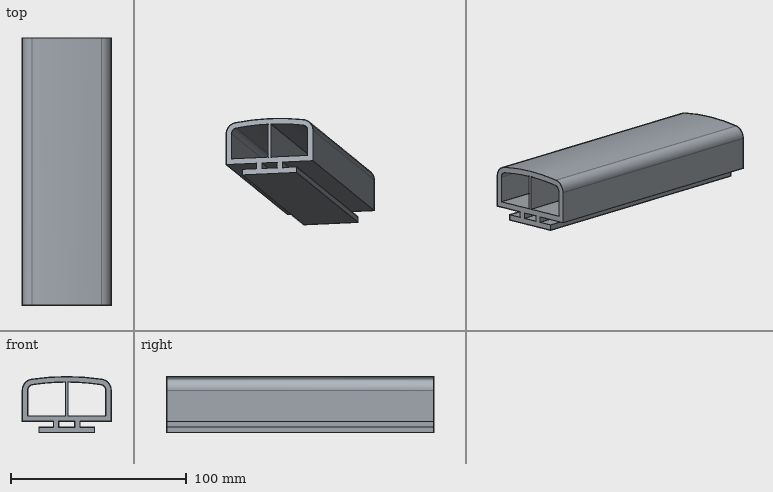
import cadquery as cq
import math

length = 152.4
width = 50.7
height = 32.0
wall = 3.2
web_thickness = 1.5
crown_radius = 134.1
corner_radius = 6.4
foot_width = 31.7
stem_gap = 8.8

stem_bottom = wall
box_bottom = 2 * wall
box_floor = 3 * wall
stem_center = (stem_gap + wall) / 2
overlap = wall / 2


def crowned_bar(bar_width, bottom, top, crown, corner):
    """Full-length bar with a crowned top, rounded at its two upper edges."""
    half = bar_width / 2
    shoulder = top - crown + math.sqrt(crown**2 - half**2)
    bar = (
        cq.Workplane("XZ", origin=(0, length / 2, 0))
        .moveTo(-half, bottom)
        .lineTo(half, bottom)
        .lineTo(half, shoulder)
        .threePointArc((0, top), (-half, shoulder))
        .close()
        .extrude(length)
    )
    upper_edges = bar.edges("|Y").edges(cq.selectors.BoxSelector(
        (-width, -length, shoulder - overlap), (width, length, shoulder + overlap)))
    return bar.newObject(upper_edges.vals()).fillet(corner)


def rectangular_bar(bar_width, bottom, top, center_x=0):
    """Full-length rectangular bar between two heights."""
    return cq.Workplane("XY", origin=(center_x, 0, bottom)).box(
        bar_width, length, top - bottom, centered=(True, True, False))


outside = crowned_bar(width, box_bottom, height, crown_radius, corner_radius)
cavity = crowned_bar(
    width - 2 * wall, box_floor, height - wall, crown_radius - wall, corner_radius - wall)
result = outside.cut(cavity)

result = result.union(rectangular_bar(web_thickness, box_floor - overlap, height - overlap))

result = result.union(rectangular_bar(foot_width, 0, stem_bottom))
for side in (-1, 1):
    stem = rectangular_bar(wall, stem_bottom - overlap, box_bottom + overlap, side * stem_center)
    result = result.union(stem)